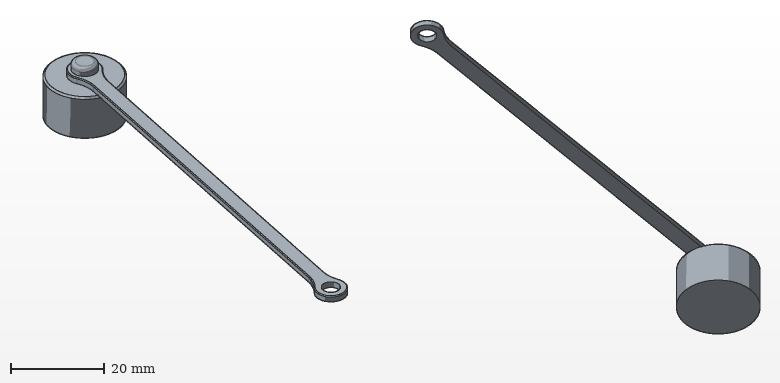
import cadquery as cq
import math

cap_diameter = 18.0
cap_height = 10.5
cap_chamfer = 0.5

overall_length = 112.5
strap_width = 3.8
strap_thickness = 1.5
strap_chamfer = 0.2
blend_radius = 8.0
cap_ring_radius = 3.9
eye_radius = 3.6
eye_hole_diameter = 4.0

overall_height = 14.0
head_diameter = 6.0
head_top_diameter = 4.0

cap_x = cap_diameter / 2
eye_x = overall_length - eye_radius
strap_top = cap_height + strap_thickness


def make_cap():
    """Cylinder with a chamfered top rim."""
    cap = cq.Workplane("XY").circle(cap_diameter / 2).extrude(cap_height)
    cap = cap.faces(">Z").edges().chamfer(cap_chamfer)
    return cap.translate((cap_x, 0, 0))


def blend_points(ring_radius):
    """Start, middle and end of the concave arc from strap edge to ring.

    Each point is (distance from the ring centre along the strap, distance from the strap axis).
    """
    center_y = strap_width / 2 + blend_radius
    center_distance = ring_radius + blend_radius
    center_x = math.sqrt(center_distance**2 - center_y**2)
    ring_angle = math.atan2(-center_y, -center_x)
    middle_angle = (ring_angle - math.pi / 2) / 2

    def on_arc(angle):
        return (center_x + blend_radius * math.cos(angle), center_y + blend_radius * math.sin(angle))

    return on_arc(-math.pi / 2), on_arc(middle_angle), on_arc(ring_angle)


def make_strap():
    """Flat bar flowing into both rings, with its upper edges chamfered and an open eye."""
    cap_blend = [(cap_x + x, y) for x, y in blend_points(cap_ring_radius)]
    eye_blend = [(eye_x - x, y) for x, y in blend_points(eye_radius)]
    cap_start, cap_middle, cap_end = cap_blend
    eye_start, eye_middle, eye_end = eye_blend

    def mirrored(point):
        return (point[0], -point[1])

    outline = (
        cq.Workplane("XY", origin=(0, 0, cap_height))
        .moveTo(*cap_start)
        .lineTo(*eye_start)
        .threePointArc(eye_middle, eye_end)
        .threePointArc((eye_x + eye_radius, 0), mirrored(eye_end))
        .threePointArc(mirrored(eye_middle), mirrored(eye_start))
        .lineTo(*mirrored(cap_start))
        .threePointArc(mirrored(cap_middle), mirrored(cap_end))
        .threePointArc((cap_x - cap_ring_radius, 0), cap_end)
        .threePointArc(cap_middle, cap_start)
        .close()
    )
    strap = outline.extrude(strap_thickness).faces(">Z").edges().chamfer(strap_chamfer)
    eye_hole = (
        cq.Workplane("XY", origin=(eye_x, 0, cap_height))
        .circle(eye_hole_diameter / 2)
        .extrude(strap_thickness)
    )
    return strap.cut(eye_hole)


def make_rivet():
    """Head with a rounded upper edge, standing on the strap."""
    head = cq.Workplane("XY", origin=(cap_x, 0, strap_top)).circle(head_diameter / 2)
    head = head.extrude(overall_height - strap_top)
    return head.faces(">Z").edges().fillet((head_diameter - head_top_diameter) / 2)


result = make_cap().union(make_strap()).union(make_rivet())